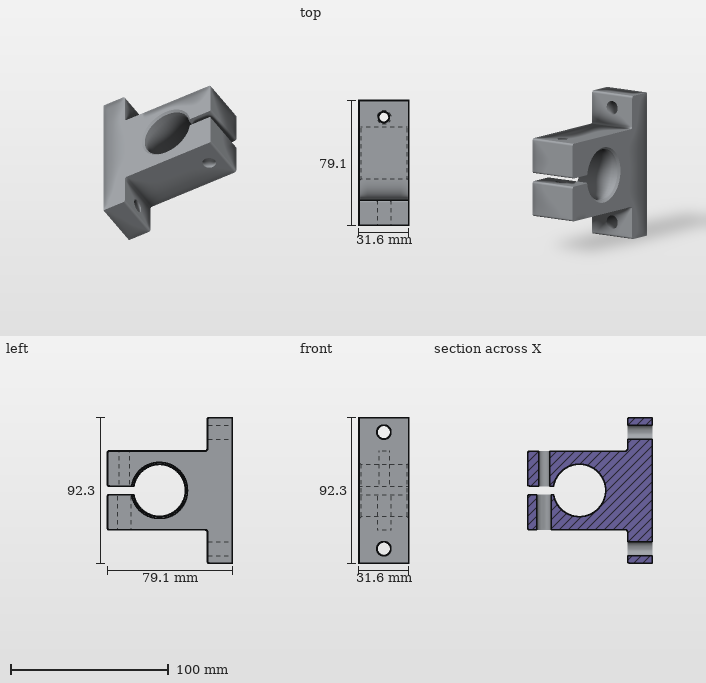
import cadquery as cq


WIDTH = 31.64
DEPTH = 79.09
FLANGE_HEIGHT = 92.27

FLANGE_THICKNESS = WIDTH / 2
BLOCK_HEIGHT = 50.09
EDGE_SIZE = 1.318

BORE_DIAMETER = 32.95
BORE_CENTER_Y = 46.14
SLOT_WIDTH = 5.27

SCREW_CLEARANCE_DIAMETER = 8.70
UPPER_CLAMP_HOLE_DIAMETER = 6.59
MOUNTING_HOLE_SPACING = 73.82
CLAMP_HOLE_END_DISTANCE = 10.55


def make_box(height, start_y, end_y):
    """Full-width box centred on X and Z, spanning start_y to end_y."""
    return cq.Workplane("XY").box(WIDTH, end_y - start_y, height).translate((0, (start_y + end_y) / 2, 0))


def make_slotted_body():
    """T-shaped body with the clamping slot cut in from the end of the block."""
    flange = make_box(FLANGE_HEIGHT, 0, FLANGE_THICKNESS)
    block = make_box(BLOCK_HEIGHT, 0, DEPTH)
    slot = make_box(SLOT_WIDTH, BORE_CENTER_Y, DEPTH)
    return flange.union(block).cut(slot)


def round_corners(body):
    """Round the block end, the slot mouth, the flange corners and the inner corners."""
    end_corners = body.faces(">Y").edges("|X")
    flange_corners = body.faces("<Z or >Z").edges("|X and >Y")
    inner_height = FLANGE_HEIGHT / 2 - EDGE_SIZE
    inner_corners = body.edges("|X").edges(
        cq.selectors.BoxSelector(
            (-WIDTH, FLANGE_THICKNESS - EDGE_SIZE, -inner_height),
            (WIDTH, FLANGE_THICKNESS + EDGE_SIZE, inner_height),
        )
    )
    return body.newObject(end_corners.vals() + flange_corners.vals() + inner_corners.vals()).fillet(EDGE_SIZE)


def make_bore():
    """Shaft bore along X, widened by a chamfer at both ends."""
    radius = BORE_DIAMETER / 2
    half_width = WIDTH / 2
    half_profile = [
        (0, 0),
        (0, radius),
        (half_width - EDGE_SIZE, radius),
        (half_width, radius + EDGE_SIZE),
        (half_width, 0),
    ]
    half_bore = cq.Workplane("XY").polyline(half_profile).close().revolve(360, (0, 0), (1, 0))
    return half_bore.union(half_bore.mirror("YZ")).translate((0, BORE_CENTER_Y, 0))


def make_mounting_holes():
    """Two through holes along Y, one near each end of the flange."""
    half_spacing = MOUNTING_HOLE_SPACING / 2
    return (
        cq.Workplane("XZ")
        .pushPoints([(0, -half_spacing), (0, half_spacing)])
        .circle(SCREW_CLEARANCE_DIAMETER / 2)
        .extrude(-FLANGE_THICKNESS)
    )


def make_clamp_holes():
    """Clamp screw hole along Z: narrow in the upper jaw, clearance size in the lower jaw."""
    hole_start = cq.Workplane("XY").center(0, DEPTH - CLAMP_HOLE_END_DISTANCE)
    upper_hole = hole_start.circle(UPPER_CLAMP_HOLE_DIAMETER / 2).extrude(BLOCK_HEIGHT / 2)
    lower_hole = hole_start.circle(SCREW_CLEARANCE_DIAMETER / 2).extrude(-BLOCK_HEIGHT / 2)
    return upper_hole.union(lower_hole)


body = round_corners(make_slotted_body())
result = body.cut(make_bore()).cut(make_mounting_holes()).cut(make_clamp_holes())